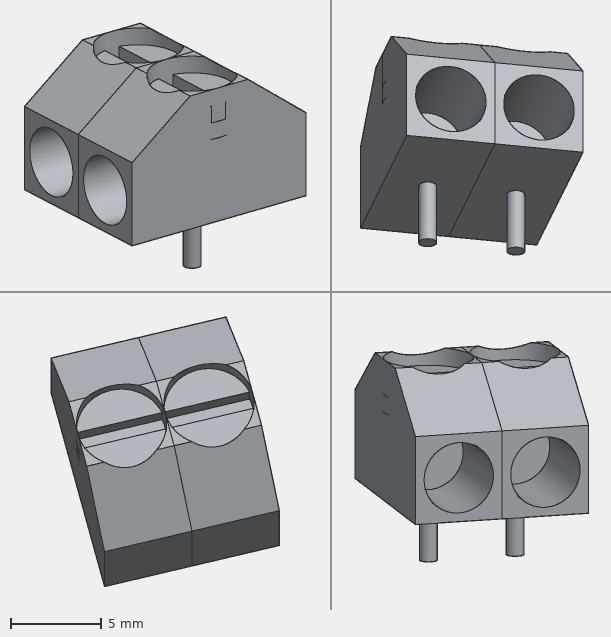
import cadquery as cq

total_width = 10.0
total_depth = 12.0
total_height = 11.5
cell_count = 2
cell_width = total_width / cell_count

housing_height = 8.0
shoulder_height = 5.0
top_flat_depth = 4.0

recess_side_wall = 0.002
recess_diameter = cell_width - 2 * recess_side_wall
recess_floor_height = shoulder_height

screw_top_height = 7.0
slot_width = 1.0
slot_depth = 1.0

wire_hole_diameter = 4.0
wire_hole_height = shoulder_height / 2
wire_hole_depth = total_depth / 2

pin_diameter = 1.0
pin_length = total_height - housing_height

cell_centers = [(index - (cell_count - 1) / 2) * cell_width for index in range(cell_count)]


def housing_block():
    """Block with a sloped roof to the front and back of a flat top."""
    half_depth = total_depth / 2
    half_flat = top_flat_depth / 2
    return (
        cq.Workplane("YZ")
        .polyline([
            (-half_depth, 0),
            (half_depth, 0),
            (half_depth, shoulder_height),
            (half_flat, housing_height),
            (-half_flat, housing_height),
            (-half_depth, shoulder_height),
        ])
        .close()
        .extrude(cell_width / 2, both=True)
    )


def recess_cylinder(top_height):
    """Cylinder standing on the recess floor and filling the recess up to a given height."""
    return (
        cq.Workplane("XY", origin=(0, 0, recess_floor_height))
        .circle(recess_diameter / 2)
        .extrude(top_height - recess_floor_height)
    )


def wire_hole():
    """Horizontal bore cutter entering at the front face."""
    return (
        cq.Workplane("XZ", origin=(0, -total_depth / 2, wire_hole_height))
        .circle(wire_hole_diameter / 2)
        .extrude(-wire_hole_depth)
    )


def solder_pin():
    """Round pin hanging from the base of the block."""
    return (
        cq.Workplane("XY")
        .circle(pin_diameter / 2)
        .extrude(-pin_length)
    )


def screw_slot():
    """Screwdriver slot cutter running along X across the screw head."""
    return (
        cq.Workplane("XY", origin=(0, 0, screw_top_height))
        .rect(cell_width, slot_width)
        .extrude(-slot_depth)
    )


def make_housing(center_x):
    """One terminal cell with its solder pin."""
    return (
        housing_block()
        .cut(recess_cylinder(housing_height))
        .cut(wire_hole())
        .union(solder_pin())
        .translate((center_x, 0, 0))
    )


def make_screw(center_x):
    """Slotted screw seated on the recess floor of its cell."""
    return (
        recess_cylinder(screw_top_height)
        .cut(screw_slot())
        .translate((center_x, 0, 0))
    )


bodies = []
for center_x in cell_centers:
    housing = make_housing(center_x)
    screw = make_screw(center_x)
    bodies += [housing.solids().val(), screw.solids().val()]

result = cq.Compound.makeCompound(bodies)